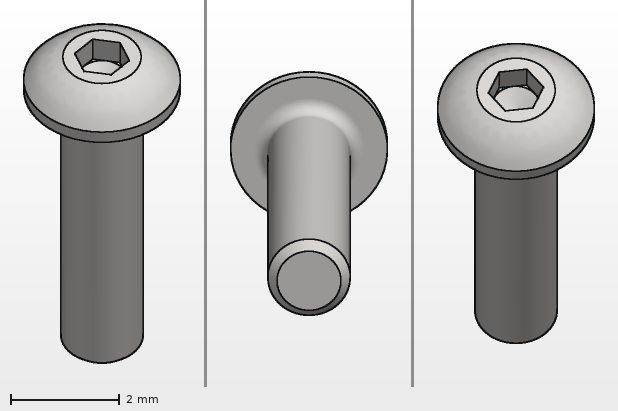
import cadquery as cq
import math

total_length = 7.16
head_diameter = 2.9
shank_diameter = 1.525

head_height = 0.81
rim_height = 0.26
crown_flat_diameter = 1.445
crown_bulge = 0.07

neck_fillet = 0.25
tip_chamfer = 0.17

socket_across_flats = 0.89
socket_depth = 0.5
socket_cone_depth = 0.26

head_radius = head_diameter / 2
shank_radius = shank_diameter / 2
crown_radius = crown_flat_diameter / 2
tip_z = head_height - total_length


def crown_arc_middle():
    """Point halfway along the crown arc, pushed outward from its chord."""
    run = head_radius - crown_radius
    drop = head_height - rim_height
    chord = math.hypot(run, drop)
    middle_r = (head_radius + crown_radius) / 2 + crown_bulge * drop / chord
    middle_z = (head_height + rim_height) / 2 + crown_bulge * run / chord
    return middle_r, middle_z


def neck_arc_middle():
    """Point halfway along the concave quarter circle below the head."""
    reach = 1 - math.sqrt(0.5)
    return shank_radius + neck_fillet * reach, -neck_fillet * reach


def make_screw_body():
    """Head and shank revolved about Z, with the head underside at Z = 0."""
    return (
        cq.Workplane("XZ")
        .moveTo(0, head_height)
        .lineTo(crown_radius, head_height)
        .threePointArc(crown_arc_middle(), (head_radius, rim_height))
        .lineTo(head_radius, 0)
        .lineTo(shank_radius + neck_fillet, 0)
        .threePointArc(neck_arc_middle(), (shank_radius, -neck_fillet))
        .lineTo(shank_radius, tip_z + tip_chamfer)
        .lineTo(shank_radius - tip_chamfer, tip_z)
        .lineTo(0, tip_z)
        .close()
        .revolve(360, (0, 0), (0, 1))
    )


def make_socket():
    """Hexagon with flats facing X, ending in a drill-point cone."""
    across_corners = socket_across_flats / math.cos(math.pi / 6)
    floor_z = head_height - socket_depth
    hexagon = (
        cq.Workplane("XY", origin=(0, 0, floor_z))
        .transformed(rotate=(0, 0, 90))
        .polygon(6, across_corners)
        .extrude(socket_depth)
    )
    cone = cq.Workplane(
        cq.Solid.makeCone(
            socket_across_flats / 2,
            0,
            socket_cone_depth,
            cq.Vector(0, 0, floor_z),
            cq.Vector(0, 0, -1),
        )
    )
    return hexagon.union(cone)


result = make_screw_body().cut(make_socket())